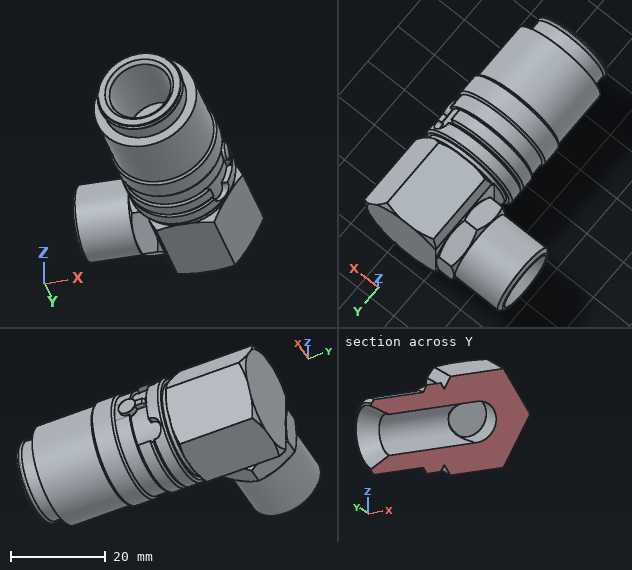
import cadquery as cq
import math


OVERALL_LENGTH = 55.5

BODY_ACROSS_FLATS = 22.0
BODY_TOP = 8.55
BODY_BOTTOM = -10.45
BODY_CHAMFER_RADIUS = 11.15
BRANCH_FACE_X = -7.7
BRANCH_FACE_BOTTOM = -10.9
NECK_RADIUS = 10.55

BRANCH_END_X = -25.2
BRANCH_HEX_START_X = -12.8
BRANCH_HEX_ACROSS_FLATS = 2 * BODY_TOP
BRANCH_RADIUS = 8.4
BRANCH_CHAMFER_LENGTH = 0.7
BRANCH_RIM_RADIUS = 7.5
CONE_MOUTH_RADIUS = 6.95
CONE_HALF_ANGLE = 30

HEX_CHAMFER_ANGLE = 30

SLEEVE_RADIUS = 11.25
RING_RADIUS = 11.75
RING_CHAMFER = 0.5
RING_1_TOP = -11.55
RING_1_BOTTOM = -15.25
RING_2_BOTTOM = -19.1
RING_3_TOP = -22.55
RING_3_BOTTOM = -28.0
SLEEVE_END = -42.05

NOSE_RADIUS = 9.05
NOSE_END = BODY_TOP - OVERALL_LENGTH
BEAD_RADIUS = 0.45
BEAD_TO_NOSE_END = 0.9
BEAD_CENTRE_Y = NOSE_END + BEAD_TO_NOSE_END
BEAD_CENTRE_RADIUS = 8.95

PASSAGE_RADIUS = 4.5
SOCKET_RADIUS = 6.7
SOCKET_MOUTH_RADIUS = 7.5
SOCKET_MOUTH_DEPTH = 0.8
SOCKET_BEYOND_NOSE = 11.1
SOCKET_FLOOR = SLEEVE_END + SOCKET_BEYOND_NOSE

LOBE_WIDTH = 3.8
LOBE_CENTRE_Z = 6.75
LOBE_TIP_Y = -12.5
POCKET_HALF_WIDTH = LOBE_CENTRE_Z + LOBE_WIDTH / 2
WEB_WIDTH = 1.45
BUTTON_RADIUS = 2.0
BUTTON_CENTRE_Y = -19.35
LATCH_FLAT_X = 11.05


def cylinder_y(radius, start, end):
    """Solid cylinder on the Y axis between two Y positions."""
    return cq.Workplane("XZ", origin=(0, start, 0)).circle(radius).extrude(start - end)


def cylinder_x(radius, start, end):
    """Solid cylinder on the X axis between two X positions."""
    return cq.Workplane("YZ", origin=(start, 0, 0)).circle(radius).extrude(end - start)


def chamfered_hexagon(across_flats, length, start_radius):
    """Hexagon on +Z with its corners turned off by a cone at both ends, corners on local X."""
    corner_radius = across_flats / math.sqrt(3)
    drop = (corner_radius - start_radius) * math.tan(math.radians(HEX_CHAMFER_ANGLE))
    prism = cq.Workplane("XY").polygon(6, 2 * corner_radius).extrude(length)
    envelope = (
        cq.Workplane("XZ")
        .moveTo(0, 0)
        .lineTo(start_radius, 0)
        .lineTo(corner_radius, drop)
        .lineTo(corner_radius, length - drop)
        .lineTo(start_radius, length)
        .lineTo(0, length)
        .close()
        .revolve(360, (0, 0, 0), (0, 1, 0))
    )
    return prism.intersect(envelope)


def elbow_body():
    hexagon = chamfered_hexagon(BODY_ACROSS_FLATS, BODY_TOP - BODY_BOTTOM, BODY_CHAMFER_RADIUS)
    hexagon = hexagon.rotate((0, 0, 0), (1, 0, 0), 90).translate((0, BODY_TOP, 0))
    upper_neck = cylinder_y(NECK_RADIUS, 0, BRANCH_FACE_BOTTOM)
    flat_cut = cq.Workplane("XY").box(
        BODY_ACROSS_FLATS, 2 * BODY_ACROSS_FLATS, 2 * BODY_ACROSS_FLATS
    ).translate((BRANCH_FACE_X - BODY_ACROSS_FLATS / 2, 0, 0))
    lower_neck = cylinder_y(NECK_RADIUS, BRANCH_FACE_BOTTOM, RING_1_TOP)
    return hexagon.union(upper_neck).cut(flat_cut).union(lower_neck)


def branch():
    hexagon = chamfered_hexagon(
        BRANCH_HEX_ACROSS_FLATS, BRANCH_FACE_X - BRANCH_HEX_START_X, BRANCH_RADIUS
    )
    hexagon = hexagon.rotate((0, 0, 0), (0, 1, 0), 90).translate((BRANCH_HEX_START_X, 0, 0))
    spigot = cylinder_x(BRANCH_RADIUS, BRANCH_END_X, BRANCH_FACE_X)
    spigot = spigot.faces("<X").chamfer(BRANCH_CHAMFER_LENGTH, BRANCH_RADIUS - BRANCH_RIM_RADIUS)
    return spigot.union(hexagon)


def ring(top, bottom):
    return cylinder_y(RING_RADIUS, top, bottom).faces("<Y or >Y").chamfer(RING_CHAMFER)


def sleeve():
    body = cylinder_y(SLEEVE_RADIUS, RING_1_TOP, SLEEVE_END)
    body = body.union(ring(RING_1_TOP, RING_1_BOTTOM))
    body = body.union(ring(RING_1_BOTTOM, RING_2_BOTTOM))
    return body.union(ring(RING_3_TOP, RING_3_BOTTOM))


def nose():
    plug = cylinder_y(NOSE_RADIUS, SLEEVE_END, NOSE_END)
    bead = (
        cq.Workplane("XY")
        .center(BEAD_CENTRE_RADIUS, BEAD_CENTRE_Y)
        .circle(BEAD_RADIUS)
        .revolve(360, (-BEAD_CENTRE_RADIUS, 0, 0), (-BEAD_CENTRE_RADIUS, 1, 0))
    )
    return plug.union(bead)


def latch_flat():
    """Shallow flat on the sleeve between the second and third rings."""
    length = RING_2_BOTTOM - RING_3_TOP
    return (
        cq.Workplane("XY")
        .box(SLEEVE_RADIUS, length, 2 * SLEEVE_RADIUS)
        .translate((LATCH_FLAT_X + SLEEVE_RADIUS / 2, RING_2_BOTTOM - length / 2, 0))
    )


def latch_pocket():
    """Pocket down to the neck radius, open below the second ring, with the web left standing."""
    shoulder_y = RING_1_BOTTOM + RING_CHAMFER
    length = shoulder_y - RING_2_BOTTOM
    pocket = (
        cq.Workplane("XY")
        .box(2 * RING_RADIUS, length, 2 * POCKET_HALF_WIDTH)
        .translate((RING_RADIUS, shoulder_y - length / 2, 0))
    )
    lobe_length = LOBE_TIP_Y - RING_2_BOTTOM
    lobe_y = LOBE_TIP_Y - lobe_length / 2
    lobes = (
        cq.Workplane("YZ")
        .pushPoints([(lobe_y, -LOBE_CENTRE_Z), (lobe_y, LOBE_CENTRE_Z)])
        .slot2D(lobe_length, LOBE_WIDTH)
        .extrude(2 * RING_RADIUS)
    )
    web = (
        cq.Workplane("XY")
        .box(2 * RING_RADIUS, length, WEB_WIDTH)
        .translate((RING_RADIUS, shoulder_y - length / 2, 0))
    )
    core = cylinder_y(NECK_RADIUS, RING_1_TOP, RING_3_TOP)
    return pocket.cut(web).union(lobes).cut(core)


def latch_button():
    return cq.Workplane("YZ").center(BUTTON_CENTRE_Y, 0).circle(BUTTON_RADIUS).extrude(RING_RADIUS)


def bores():
    passage = cylinder_y(PASSAGE_RADIUS, PASSAGE_RADIUS, NOSE_END)
    socket = cylinder_y(SOCKET_RADIUS, SOCKET_FLOOR, NOSE_END)
    socket_mouth = cq.Workplane(
        cq.Solid.makeCone(
            SOCKET_MOUTH_RADIUS, SOCKET_RADIUS, SOCKET_MOUTH_DEPTH,
            cq.Vector(0, NOSE_END, 0), cq.Vector(0, 1, 0),
        )
    )
    cone_depth = (CONE_MOUTH_RADIUS - PASSAGE_RADIUS) / math.tan(math.radians(CONE_HALF_ANGLE))
    branch_cone = cq.Workplane(
        cq.Solid.makeCone(
            CONE_MOUTH_RADIUS, PASSAGE_RADIUS, cone_depth,
            cq.Vector(BRANCH_END_X, 0, 0), cq.Vector(1, 0, 0),
        )
    )
    branch_passage = cylinder_x(PASSAGE_RADIUS, BRANCH_END_X, 0)
    return passage.union(socket).union(socket_mouth).union(branch_passage).union(branch_cone)


coupling = sleeve().cut(latch_flat()).cut(latch_pocket()).union(latch_button())
result = elbow_body().union(branch()).union(coupling).union(nose()).cut(bores())